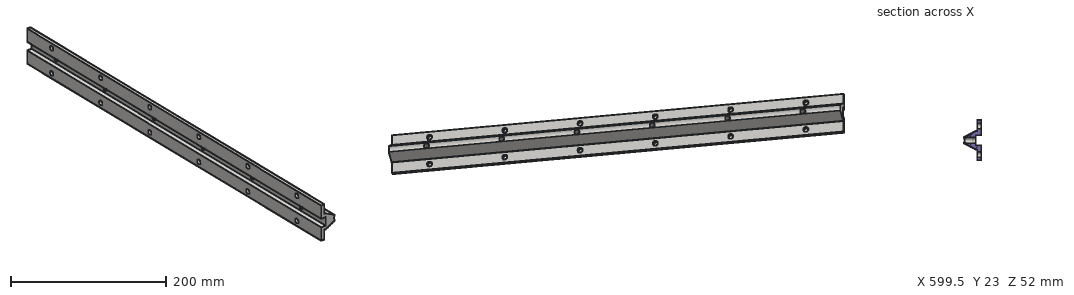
import cadquery as cq

length = 599.5
depth = 23.0
height = 52.0

flange_thickness = 5.5
channel_width = 12.5
channel_depth = 7.0
web_width = 24.0
web_root_height = 7.0
nose_width = 8.0
seat_sag = 1.0

hole_count = 6
hole_pitch = length / hole_count
flange_hole_diameter = 6.5
flange_hole_spacing = 37.0
nose_hole_diameter = 6.5

front = -depth / 2
back = depth / 2


def rail_body():
    """Flanged rail with a back channel and a tapered, hollow-nosed web."""
    flange_back = front + flange_thickness
    web_root = front + web_root_height
    channel_floor = front + channel_depth
    profile = (
        cq.Workplane("YZ")
        .workplane(offset=-length / 2)
        .moveTo(front, channel_width / 2)
        .lineTo(front, height / 2)
        .lineTo(flange_back, height / 2)
        .lineTo(flange_back, web_width / 2)
        .lineTo(web_root, web_width / 2)
        .lineTo(back, nose_width / 2)
        .threePointArc((back - seat_sag, 0), (back, -nose_width / 2))
        .lineTo(web_root, -web_width / 2)
        .lineTo(flange_back, -web_width / 2)
        .lineTo(flange_back, -height / 2)
        .lineTo(front, -height / 2)
        .lineTo(front, -channel_width / 2)
        .lineTo(channel_floor, -channel_width / 2)
        .lineTo(channel_floor, channel_width / 2)
        .close()
    )
    return profile.extrude(length)


def hole_row(z, diameter):
    """Evenly pitched row of through-hole cutters along Y at height z."""
    first_x = -(hole_count - 1) * hole_pitch / 2
    points = [(first_x + i * hole_pitch, z) for i in range(hole_count)]
    return (
        cq.Workplane("XZ")
        .pushPoints(points)
        .circle(diameter / 2)
        .extrude(depth, both=True)
    )


result = rail_body()
for side in (-1, 1):
    result = result.cut(hole_row(side * flange_hole_spacing / 2, flange_hole_diameter))
result = result.cut(hole_row(0, nose_hole_diameter))